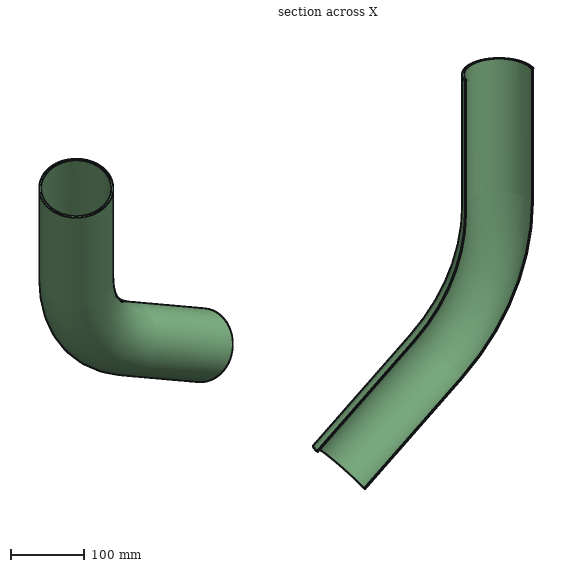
import cadquery as cq
import math

outer_diameter = 102.0
inner_diameter = 96.0
leg_length = 203.0
bend_radius = 306.0
bend_angle = math.radians(45)


def bend_point(angle):
    """Centreline point (Y, Z) after turning through the given angle."""
    return (
        bend_radius * (1 - math.cos(angle)),
        -leg_length - bend_radius * math.sin(angle),
    )


bend_start = bend_point(0)
bend_middle = bend_point(bend_angle / 2)
bend_end = bend_point(bend_angle)
lower_end = (
    bend_end[0] + leg_length * math.sin(bend_angle),
    bend_end[1] - leg_length * math.cos(bend_angle),
)
centreline = (
    cq.Workplane("YZ")
    .moveTo(0, 0)
    .lineTo(*bend_start)
    .threePointArc(bend_middle, bend_end)
    .lineTo(*lower_end)
)

result = (
    cq.Workplane("XY")
    .circle(outer_diameter / 2)
    .circle(inner_diameter / 2)
    .sweep(centreline)
)